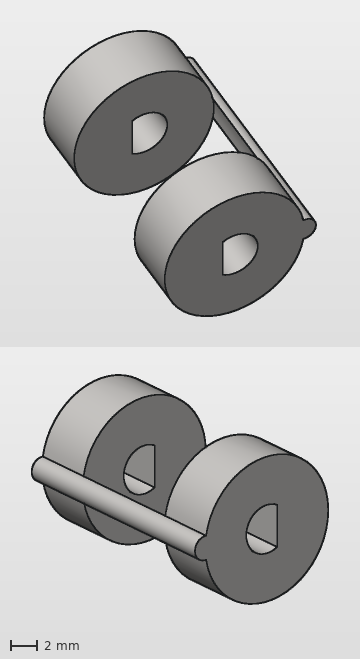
import cadquery as cq

total_length = 20.0
wheel_width = total_length / 4
wheel_radius = 6.0
bar_radius = 1.0
bore_radius = 2.0
bore_flat_offset = 1.0


def cylinder_along_x(radius, length, start_x, center_y=0.0):
    """Solid cylinder that runs from start_x in the +X direction."""
    return (
        cq.Workplane("YZ", origin=(start_x, center_y, 0))
        .circle(radius)
        .extrude(length)
    )


def d_bore():
    """Cutter for the D-shaped bore, long enough to pass through both wheels."""
    round_bore = cylinder_along_x(bore_radius, total_length, 0)
    kept_side = cq.Workplane("XY").box(
        total_length,
        bore_flat_offset + bore_radius,
        2 * bore_radius,
        centered=(False, False, True),
    ).translate((0, -bore_flat_offset, 0))
    return round_bore.intersect(kept_side)


def rim_bar():
    """Bar centred on the wheel rim, with the part inside the rim cut away."""
    full_bar = cylinder_along_x(bar_radius, total_length, 0, wheel_radius)
    return full_bar.cut(cylinder_along_x(wheel_radius, total_length, 0))


result = rim_bar()
for wheel_start in (0, total_length - wheel_width):
    result = result.union(cylinder_along_x(wheel_radius, wheel_width, wheel_start))
result = result.cut(d_bore())